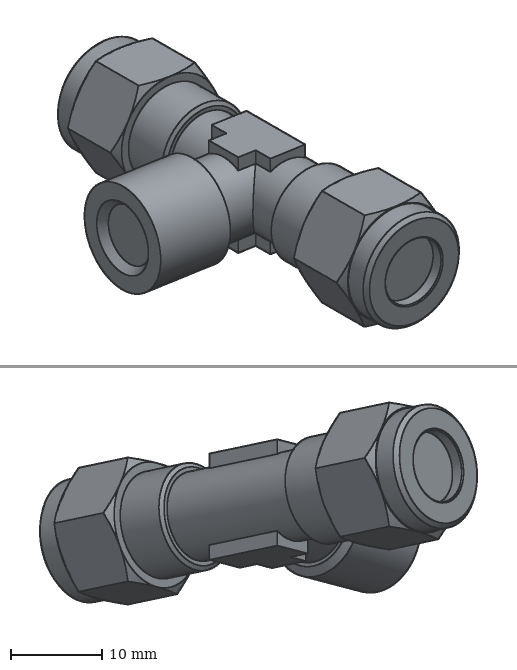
import cadquery as cq
import math

body_radius = 5.0

run_end = 26.5
nut_outer_face = 23.5
nut_inner_face = 15.0
collar_start = 9.0
collar_radius = 6.0
collar_chamfer_length = 0.3
collar_chamfer_depth = 0.5

nut_across_flats = 14.0
nut_sides = 6
nut_bevel_angle = math.radians(30)
nut_corner_radius = nut_across_flats / 2 / math.cos(math.pi / nut_sides)
nut_bevel_radius = nut_across_flats / 2
nut_bevel_length = (nut_corner_radius - nut_bevel_radius) * math.tan(nut_bevel_angle)
nut_nose_radius = 6.9
nut_nose_chamfer = 0.5

socket_radius = 4.0
socket_mouth_radius = 4.15
socket_mouth_depth = 0.15
socket_depth = 1.5

branch_end = 19.5
port_start = 9.0
port_radius = 6.5
port_chamfer_length = 0.5
port_chamfer_depth = 1.05
port_mouth_radius = 4.4
port_floor_radius = 3.6
port_depth = 1.0

pad_height = 12.0
pad_width = 10.0
pad_half_depth = 2.5
pad_stem_width = 5.0
pad_stem_reach = 5.0


def turned_on_x(profile):
    """Revolve a list of (x, radius) points around the X axis."""
    return cq.Workplane("XY").polyline(profile).close().revolve(360, (0, 0, 0), (1, 0, 0))


def turned_on_branch(profile):
    """Revolve a list of (radius, distance along -Y) points around the Y axis."""
    points = [(radius, -distance) for radius, distance in profile]
    return cq.Workplane("XY").polyline(points).close().revolve(360, (0, 0, 0), (0, 1, 0))


def make_nut():
    """Hexagon with corners on the Y axis, bevelled at both ends."""
    length = nut_outer_face - nut_inner_face
    hexagon = (
        cq.Workplane("YZ", origin=(nut_inner_face, 0, 0))
        .polygon(nut_sides, 2 * nut_corner_radius)
        .extrude(length)
    )
    bevel_envelope = turned_on_x([
        (nut_inner_face, 0),
        (nut_inner_face, nut_bevel_radius),
        (nut_inner_face + nut_bevel_length, nut_corner_radius),
        (nut_outer_face - nut_bevel_length, nut_corner_radius),
        (nut_outer_face, nut_bevel_radius),
        (nut_outer_face, 0),
    ])
    return hexagon.intersect(bevel_envelope)


def make_run_body():
    """Plain cylinder along X between the two collars."""
    return (
        cq.Workplane("YZ", origin=(-collar_start, 0, 0))
        .circle(body_radius)
        .extrude(2 * collar_start)
    )


def make_run_end():
    """The +X end of the run with its collar, nut, nose and tube socket."""
    turned = turned_on_x([
        (collar_start, 0),
        (collar_start, collar_radius - collar_chamfer_depth),
        (collar_start + collar_chamfer_length, collar_radius),
        (nut_inner_face, collar_radius),
        (nut_inner_face, nut_nose_radius),
        (run_end - nut_nose_chamfer, nut_nose_radius),
        (run_end, nut_nose_radius - nut_nose_chamfer),
        (run_end, 0),
    ])
    socket = turned_on_x([
        (run_end, 0),
        (run_end, socket_mouth_radius),
        (run_end - socket_mouth_depth, socket_radius),
        (run_end - socket_depth, socket_radius),
        (run_end - socket_depth, 0),
    ])
    return turned.union(make_nut()).cut(socket)


def make_branch():
    """Branch neck and port with a conical recess in its end face."""
    return turned_on_branch([
        (0, 0),
        (body_radius, 0),
        (body_radius, port_start),
        (port_radius - port_chamfer_depth, port_start),
        (port_radius, port_start + port_chamfer_length),
        (port_radius, branch_end),
        (port_mouth_radius, branch_end),
        (port_floor_radius, branch_end - port_depth),
        (0, branch_end - port_depth),
    ])


def make_pads():
    """T-shaped block whose top and bottom form the flat pads."""
    bar = cq.Workplane("XY").box(pad_width, 2 * pad_half_depth, pad_height)
    stem = (
        cq.Workplane("XY")
        .box(pad_stem_width, pad_stem_reach, pad_height)
        .translate((0, -pad_stem_reach / 2, 0))
    )
    return bar.union(stem)


right_end = make_run_end()
left_end = right_end.mirror("YZ")
result = make_run_body().union(right_end).union(left_end).union(make_branch()).union(make_pads())